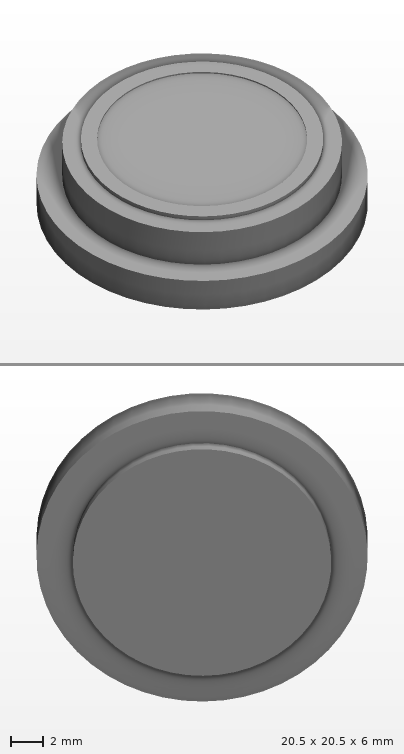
import cadquery as cq

base_diameter = 16.0
base_height = 0.8
flange_diameter = 20.5
flange_height = 2.3
body_diameter = 17.32
body_height = 2.6
lip_diameter = 15.0
lip_height = 0.3

recess_diameter = 13.0
recess_depth = 0.1


def add_step(part, diameter, height):
    """Stack a concentric disc on the top face of the part."""
    return part.faces(">Z").workplane().circle(diameter / 2).extrude(height)


result = cq.Workplane("XY").circle(base_diameter / 2).extrude(base_height)
result = add_step(result, flange_diameter, flange_height)
result = add_step(result, body_diameter, body_height)
result = add_step(result, lip_diameter, lip_height)
result = result.faces(">Z").workplane().circle(recess_diameter / 2).cutBlind(-recess_depth)